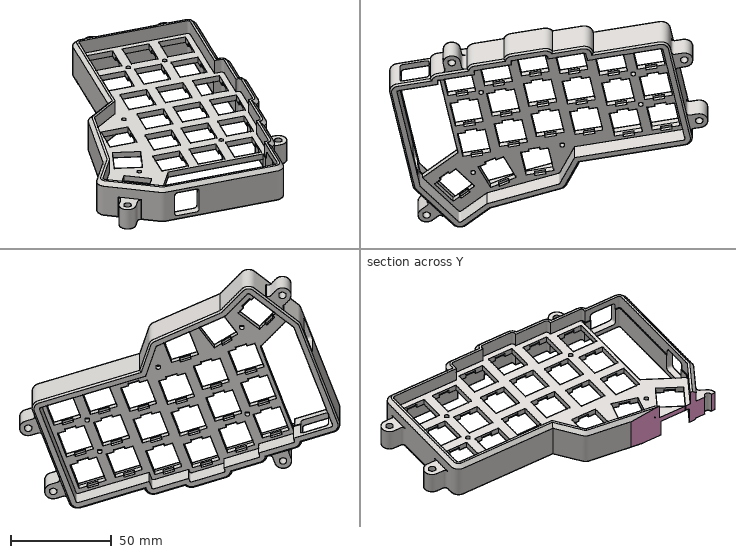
import cadquery as cq
import math

pitch_x = 19.0
pitch_y = 19.0
stagger = pitch_y / 8
column_steps = [0, 0, 2, 3, 2, 1]
row_count = 3
first_key_x = 12.8
bottom_row_y = 13.3
key_size = 14.0

thumb_keys = [(79.6, -1.7, 0), (100.3, -4.3, 15), (122.6, -8.0, 30)]

notch_width = 5.6
notch_depth = 1.2
clip_thickness = 1.4

height = 20.0
body_width = 141.8
base_back_y = 64.6
wall = 3.2
outer_radius = 4.5
inner_radius = outer_radius - wall
top_chamfer = 2.0
bottom_chamfer = 0.9

plate_top = 12.4
plate_thickness = 3.2
plate_bottom = plate_top - plate_thickness
ledge = 0.5
step_inset = 1.2

thumb_start_x = 60.0
thumb_corner_x = 70.6
thumb_corner_y = -9.9
thumb_bend_x = 108.1
thumb_tip_x = 122.9
front_angle = 7.5
thumb_angle = 30

opening_x = 117.1
opening_y = 11.3

ear_radius = 4.3
ear_hole = 3.7
ear_bottom = bottom_chamfer
ear_top = 12.5
ear_fillet = 1.5
ear_reach = 5.3
back_ear_reach = 5.0
thumb_ear_x = 138.6
thumb_ear_y = -17.4
thumb_ear_reach = 5.5

mount_hole = 2.3
thumb_mounts = [(65.4, 5.8), (112.0, -2.1)]

window_bottom = 2.7
window_top = 16.3
window_radius = 1.5
back_window_width = 14.6
back_window_x = 128.4
right_window_width = 12.8
right_window_y = 12.7


def column_x(column):
    return first_key_x + column * pitch_x


def key_y(column, row):
    return bottom_row_y + row * pitch_y + column_steps[column] * stagger


def back_y(steps):
    return base_back_y - outer_radius + steps * stagger


ears = [
    (-ear_reach, key_y(0, 0), 180, ear_reach),
    (-ear_reach, key_y(0, 2), 180, ear_reach),
    (column_x(5), base_back_y + stagger + back_ear_reach, 90, back_ear_reach),
    (thumb_ear_x, thumb_ear_y, -thumb_angle, thumb_ear_reach),
]
grid_mounts = [
    (column_x(0.5), bottom_row_y + 0.5 * pitch_y),
    (column_x(0.5), bottom_row_y + 1.5 * pitch_y),
    (column_x(4.5), bottom_row_y + 1.5 * (pitch_y + stagger)),
]


def core_points():
    """Corners of the sharp core outline, counterclockwise from the front left."""
    left = outer_radius
    right = body_width - outer_radius
    thumb_slope = math.tan(math.radians(thumb_angle))
    bend_y = thumb_corner_y - (thumb_bend_x - thumb_corner_x) * math.tan(math.radians(front_angle))
    tip_y = bend_y - (thumb_tip_x - thumb_bend_x) * thumb_slope
    right_y = tip_y + (right - thumb_tip_x) / thumb_slope
    points = [
        (left, outer_radius),
        (thumb_start_x, outer_radius),
        (thumb_corner_x, thumb_corner_y),
        (thumb_bend_x, bend_y),
        (thumb_tip_x, tip_y),
        (right, right_y),
    ]
    steps = column_steps + [0]
    points.append((right, back_y(steps[-1])))
    for column in range(len(steps) - 1, 0, -1):
        here = steps[column]
        after = steps[column - 1]
        if here != after:
            inset = step_inset if after < here else -step_inset
            x = column_x(column) - pitch_x / 2 + inset
            points.append((x, back_y(here)))
            points.append((x, back_y(after)))
    points.append((left, back_y(steps[0])))
    return points


def prism(distance, bottom, top):
    """Prism a distance outside the core outline, rounded at its outward corners."""
    core = cq.Workplane("XY").workplane(offset=bottom).polyline(core_points()).close()
    return core.offset2D(distance, "arc").extrude(top - bottom)


def ear(x, y, angle, reach):
    """Screw ear centred at (x, y), pointing away from a wall that is one reach behind it."""
    flare = ear_radius + ear_fillet
    cut_in = ear_fillet * (1 - math.sqrt(0.5))
    profile = (
        cq.Workplane("XY")
        .moveTo(-reach - wall, -flare)
        .lineTo(-reach, -flare)
        .threePointArc((cut_in - reach, -ear_radius - cut_in), (ear_fillet - reach, -ear_radius))
        .lineTo(0, -ear_radius)
        .threePointArc((ear_radius, 0), (0, ear_radius))
        .lineTo(ear_fillet - reach, ear_radius)
        .threePointArc((cut_in - reach, ear_radius + cut_in), (-reach, flare))
        .lineTo(-reach - wall, flare)
        .close()
    )
    body = profile.extrude(ear_top - ear_bottom)
    return body.rotate((0, 0, 0), (0, 0, 1), angle).translate((x, y, ear_bottom))


def key_hole(x, y, angle):
    """Square key hole through the plate with its two clip notches."""
    hole = cq.Workplane("XY").box(key_size, key_size, height)
    notch_length = key_size + 2 * notch_depth
    notch = cq.Workplane("XY").workplane(offset=-clip_thickness).rect(notch_width, notch_length)
    hole = hole.union(notch.extrude(-plate_thickness))
    return hole.rotate((0, 0, 0), (0, 0, 1), -angle).translate((x, y, plate_top))


def window(width):
    """Rounded window cutter centred on the origin, passing through a wall along Y."""
    window_height = window_top - window_bottom
    cutter = cq.Workplane("XY").box(width, 2 * outer_radius, window_height).edges("|Y").fillet(window_radius)
    return cutter.translate((0, 0, window_bottom + window_height / 2))


def round_hole(x, y, diameter):
    return cq.Workplane("XY").center(x, y).circle(diameter / 2).extrude(height)


body = prism(outer_radius, 0, height)
body = body.faces(">Z").chamfer(top_chamfer).faces("<Z").chamfer(bottom_chamfer)
for x, y, angle, reach in ears:
    body = body.union(ear(x, y, angle, reach))

body = body.cut(prism(inner_radius, plate_top, height))
body = body.cut(prism(inner_radius - ledge, 0, plate_bottom))

opening = (
    cq.Workplane("XY")
    .polyline([
        (opening_x, opening_y),
        (body_width, opening_y - (body_width - opening_x) * math.tan(math.radians(thumb_angle))),
        (body_width, body_width),
        (opening_x, body_width),
    ])
    .close()
    .extrude(height)
)
opening = opening.intersect(prism(inner_radius - ledge, 0, plate_top))
body = body.cut(opening)

body = body.cut(window(back_window_width).translate((back_window_x, base_back_y, 0)))
right_window = window(right_window_width).rotate((0, 0, 0), (0, 0, 1), 90)
body = body.cut(right_window.translate((body_width, right_window_y, 0)))

for column in range(len(column_steps)):
    for row in range(row_count):
        body = body.cut(key_hole(column_x(column), key_y(column, row), 0))
for x, y, angle in thumb_keys:
    body = body.cut(key_hole(x, y, angle))

for x, y, _, _ in ears:
    body = body.cut(round_hole(x, y, ear_hole))
for x, y in grid_mounts + thumb_mounts:
    body = body.cut(round_hole(x, y, mount_hole))

result = body